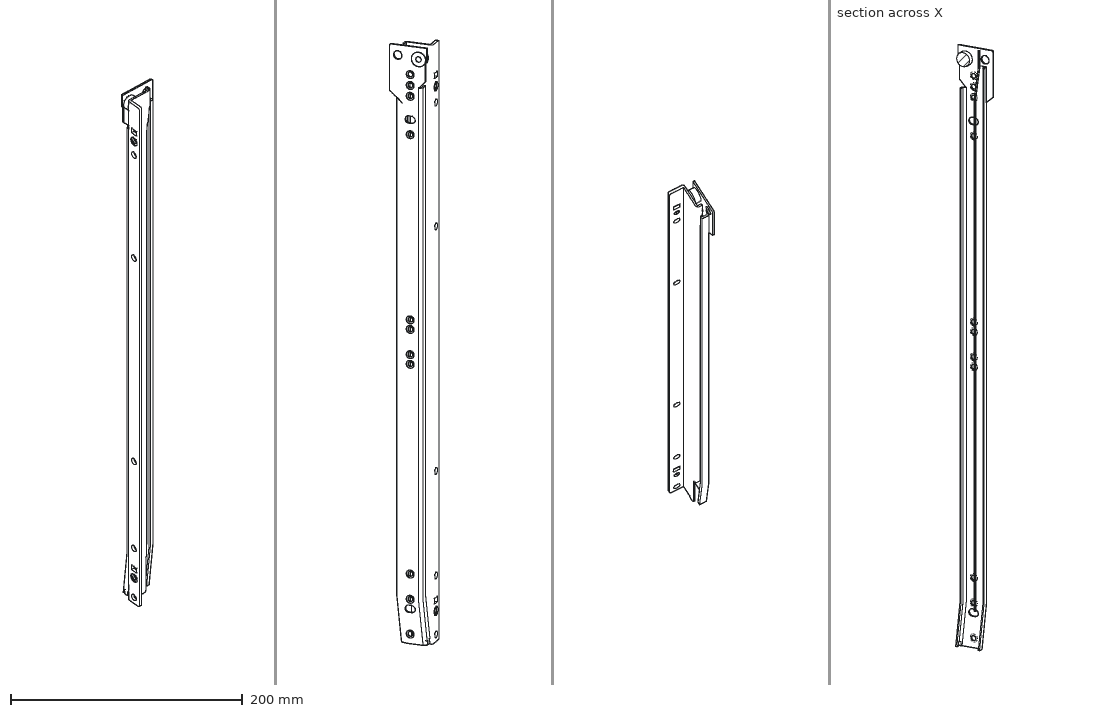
import cadquery as cq

LENGTH = 550.0
SHEET = 1.5

CHANNEL_DEPTH = 9.0
CHANNEL_FRONT = 6.0
CHANNEL_BACK = 30.0
WEB_FRONT, WEB_BACK = 9.5, 24.0
FRONT_SLANT = 2.0
BACK_SLANT = 1.0
BACK_CORNER = 0.8
LIP = 3.0
CABINET_END = 3.5
KINK_Z = 45.5
KINK_SHIFT = 4.5
FRONT_FLANGE_TOP = 512.5
BACK_FLANGE_TOP = 534.5

HEAD_FRONT, HEAD_BACK = 1.5, 36.5
HEAD_CORNER = 1.5
HEAD_STEP, HEAD_STEP_Z = 1.4, 537.0
HEAD_FRONT_SLOPE_Z = 519.0
HEAD_BACK_SLOPE_Z = 507.5
HEAD_BASE_Z = 497.0
HEAD_HOLE_Y, HEAD_HOLE_Z, HEAD_HOLE_DIA = 28.5, 540.5, 7.5

ROLLER_Y, ROLLER_Z, ROLLER_DIA = 9.5, 539.0, 13.0
ROLLER_END = 7.0
RECESS_DEPTH = 0.5
RIVET_DIA = 5.0

WEB_HOLE_Y, WEB_HOLE_DIA = 17.0, 4.5
WEB_RIM_DIA, WEB_RIM_DEPTH = 7.0, 0.5
WEB_HOLE_Z = (524.0, 514.0, 504.5, 469.0, 300.0, 291.0, 268.0, 259.0, 67.0, 44.0, 12.0)
WEB_SLOT_LENGTH, WEB_SLOT_HEIGHT = 9.5, 6.5
WEB_SLOT_Z = (483.0, 35.0)

TAB_LEFT, TAB_RIGHT, TAB_TOP = 4.0, 7.5, 7.0

WALL_X = 10.0
FLANGE_EDGE = 25.5
FLANGE_THICKNESS = 3.0
FLANGE_END = 1.5
FLANGE_CORNER = 1.5
FLANGE_BEND = 1.9
TRACK_BEND = 3.0
TRACK_EDGE = 6.0
TRACK_TOP = 22.0
TRACK_RISE = 4.0
TRACK_START = 38.5
RISE_START, RISE_END = 506.0, 533.5
WALL_END_TIP_Y, WALL_END_BACK = 16.5, 20.0

FLANGE_HOLE_X = 18.0
SQUARE_HOLE_WIDTH, SQUARE_HOLE_HEIGHT = 6.5, 5.0
SQUARE_HOLE_Z = (520.5, 39.5)
SCREW_HOLE_DIA, SCREW_HEAD_DIA, SCREW_HEAD_DEPTH = 5.0, 8.0, 1.0
SCREW_HOLE_Z = (510.0, 29.5)
PLAIN_HOLE_DIA = 6.0
PLAIN_HOLE_Z = (495.0, 381.5, 158.0, 62.0, 8.0)


def disc(y, z, diameter, x_start, x_end):
    """Cylinder along X."""
    circle = cq.Workplane("YZ", origin=(x_start, y, z)).circle(diameter / 2)
    return circle.extrude(x_end - x_start)


def channel_points(shift):
    """Closed outline of the channel section, moved along Y by `shift`."""
    back_start = BACK_SLANT + BACK_CORNER
    outer = [
        (CHANNEL_DEPTH, CHANNEL_FRONT),
        (FRONT_SLANT, CHANNEL_FRONT),
        (0, WEB_FRONT),
        (0, WEB_BACK),
        (BACK_SLANT, CHANNEL_BACK - SHEET),
        (back_start, CHANNEL_BACK),
        (CHANNEL_DEPTH, CHANNEL_BACK),
        (CHANNEL_DEPTH, CHANNEL_BACK - LIP),
    ]
    inner = [
        (CHANNEL_DEPTH - SHEET, CHANNEL_BACK - LIP),
        (CHANNEL_DEPTH - SHEET, CHANNEL_BACK - SHEET),
        (back_start + BACK_CORNER, CHANNEL_BACK - SHEET),
        (SHEET, WEB_BACK),
        (SHEET, WEB_FRONT + SHEET / 2),
        (FRONT_SLANT + SHEET / 2, CHANNEL_FRONT + SHEET),
        (CHANNEL_DEPTH, CHANNEL_FRONT + SHEET),
    ]
    return [(x, y + shift) for x, y in outer + inner]


def make_channel():
    straight = (
        cq.Workplane("XY", origin=(0, 0, KINK_Z))
        .polyline(channel_points(0)).close()
        .extrude(BACK_FLANGE_TOP - KINK_Z)
    )
    leaning = (
        cq.Workplane("XY", origin=(0, 0, CABINET_END))
        .polyline(channel_points(-KINK_SHIFT)).close()
        .workplane(offset=KINK_Z - CABINET_END)
        .polyline(channel_points(0)).close()
        .loft(ruled=True)
    )
    return cut_mouth(straight).union(leaning)


def cut_mouth(channel):
    """Remove the front side of the channel above FRONT_FLANGE_TOP to open it for the roller."""
    mouth = cq.Workplane("XY", origin=(0, 0, FRONT_FLANGE_TOP)).box(
        CHANNEL_DEPTH, WEB_BACK, BACK_FLANGE_TOP - FRONT_FLANGE_TOP, centered=False
    )
    return channel.cut(mouth)


def make_head_plate():
    outline = [
        (WEB_FRONT, HEAD_BASE_Z),
        (WEB_FRONT, FRONT_FLANGE_TOP),
        (HEAD_FRONT + HEAD_STEP, HEAD_FRONT_SLOPE_Z),
        (HEAD_FRONT + HEAD_STEP, HEAD_STEP_Z),
        (HEAD_FRONT, HEAD_STEP_Z),
        (HEAD_FRONT, LENGTH),
        (HEAD_BACK, LENGTH),
        (HEAD_BACK, HEAD_BACK_SLOPE_Z),
        (WEB_BACK, HEAD_BASE_Z),
    ]
    plate = cq.Workplane("YZ").polyline(outline).close().extrude(SHEET)
    plate = plate.edges("|X").edges(">Y and >Z").fillet(HEAD_CORNER)
    return plate.cut(disc(HEAD_HOLE_Y, HEAD_HOLE_Z, HEAD_HOLE_DIA, 0, SHEET))


def add_roller(member):
    recess = disc(ROLLER_Y, ROLLER_Z, ROLLER_DIA, 0, RECESS_DEPTH)
    rivet = disc(ROLLER_Y, ROLLER_Z, RIVET_DIA, 0, SHEET)
    roller = disc(ROLLER_Y, ROLLER_Z, ROLLER_DIA, SHEET, ROLLER_END)
    return member.cut(recess).union(rivet).union(roller)


def cut_web_openings(member):
    for z in WEB_HOLE_Z:
        member = member.cut(disc(WEB_HOLE_Y, z, WEB_HOLE_DIA, 0, SHEET))
        member = member.cut(disc(WEB_HOLE_Y, z, WEB_RIM_DIA, 0, WEB_RIM_DEPTH))
    slots = (
        cq.Workplane("YZ")
        .pushPoints([(WEB_HOLE_Y, z) for z in WEB_SLOT_Z])
        .slot2D(WEB_SLOT_LENGTH, WEB_SLOT_HEIGHT)
        .extrude(SHEET)
    )
    return member.cut(slots)


def cut_tab(member):
    """Remove the lower end of the front flange on both sides of the tab."""
    depth = CHANNEL_FRONT + SHEET
    for start, end in ((FRONT_SLANT, TAB_LEFT), (TAB_RIGHT, CHANNEL_DEPTH)):
        notch = cq.Workplane("XY").box(end - start, depth, TAB_TOP, centered=False)
        member = member.cut(notch.translate((start, 0, 0)))
    return member


def make_cabinet_member():
    member = make_channel().union(make_head_plate())
    member = add_roller(member)
    member = cut_web_openings(member)
    return cut_tab(member)


def make_flange():
    flange = cq.Workplane("XY").box(
        FLANGE_EDGE - WALL_X, FLANGE_THICKNESS, LENGTH - FLANGE_END, centered=False
    ).translate((WALL_X, 0, FLANGE_END))
    return flange.edges("|Y and >X").fillet(FLANGE_CORNER)


def track_line(offset):
    """Lengthwise line of the track, `offset` below its outer face, from bottom to top."""
    y = TRACK_TOP - offset
    return [
        (y, TRACK_START),
        (y, RISE_START),
        (y + TRACK_RISE, RISE_END),
        (y + TRACK_RISE, LENGTH),
    ]


def make_wall():
    """Wall with a rounded lower end that follows the rise of the track."""
    wall = (
        cq.Workplane("YZ", origin=(WALL_X, 0, 0))
        .moveTo(0, LENGTH)
        .lineTo(0, FLANGE_END)
        .lineTo(2 * WALL_END_TIP_Y - WALL_END_BACK, FLANGE_END)
        .threePointArc((WALL_END_TIP_Y, 0), (WALL_END_BACK, FLANGE_END))
        .lineTo(WALL_END_BACK, TRACK_START)
    )
    for point in track_line(0):
        wall = wall.lineTo(*point)
    return wall.close().extrude(SHEET)


def make_track():
    outline = track_line(0) + track_line(SHEET)[::-1]
    track = cq.Workplane("YZ", origin=(TRACK_EDGE, 0, 0)).polyline(outline).close()
    return track.extrude(WALL_X - TRACK_EDGE)


def round_bends(member):
    """Round the outer corners that the wall makes with the flange and with the track."""
    middle = (TRACK_START + RISE_START) / 2
    flange_corner = cq.selectors.NearestToPointSelector((WALL_X, 0, middle))
    track_corner = cq.selectors.BoxSelector(
        (WALL_X + SHEET / 2, TRACK_TOP - SHEET / 2, TRACK_START + SHEET),
        (WALL_X + 2 * SHEET, TRACK_TOP + 2 * TRACK_RISE, LENGTH - SHEET),
    )
    member = member.edges(flange_corner).fillet(FLANGE_BEND)
    return member.edges(track_corner).fillet(TRACK_BEND)


def cut_flange_holes(member):
    face = cq.Workplane("XZ")
    squares = (
        face.pushPoints([(FLANGE_HOLE_X, z) for z in SQUARE_HOLE_Z])
        .rect(SQUARE_HOLE_WIDTH, SQUARE_HOLE_HEIGHT)
        .extrude(-FLANGE_THICKNESS)
    )
    plain = (
        face.pushPoints([(FLANGE_HOLE_X, z) for z in PLAIN_HOLE_Z])
        .circle(PLAIN_HOLE_DIA / 2)
        .extrude(-FLANGE_THICKNESS)
    )
    member = member.cut(squares).cut(plain)
    screws = face.pushPoints([(FLANGE_HOLE_X, z) for z in SCREW_HOLE_Z])
    shanks = screws.circle(SCREW_HOLE_DIA / 2).extrude(-FLANGE_THICKNESS)
    heads = screws.circle(SCREW_HEAD_DIA / 2).extrude(-SCREW_HEAD_DEPTH)
    member = member.cut(shanks).cut(heads)
    return member


def make_drawer_member():
    member = make_flange().union(make_wall()).union(make_track())
    member = round_bends(member)
    return cut_flange_holes(member)


cabinet_member = make_cabinet_member()
drawer_member = make_drawer_member()

result = cq.Compound.makeCompound([cabinet_member.val(), drawer_member.val()])